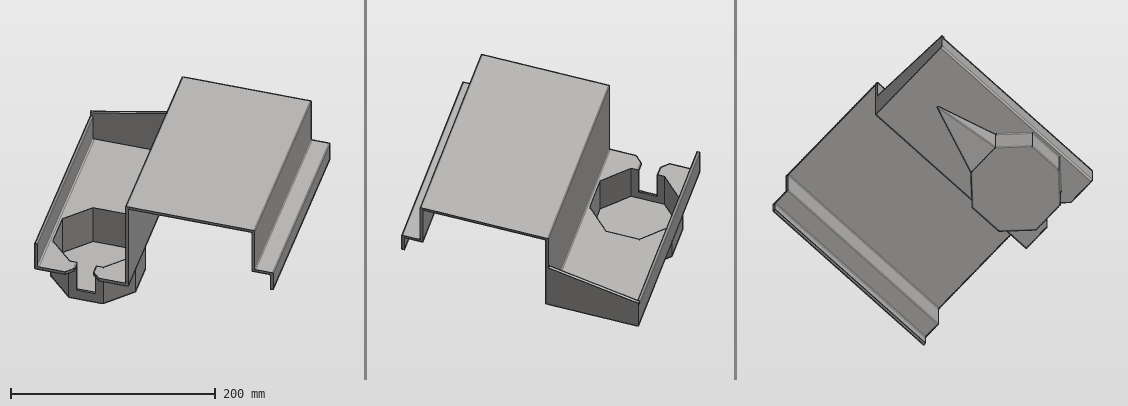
import cadquery as cq
import math

length = 242.7
depth = 201.0
height = 145.1

sheet = 3.0
floor_bottom = 42.2
floor_thickness = 3.5
floor_top = floor_bottom + floor_thickness
lip_top = 75.0
riser_x = 92.5
hood_right = 223.8
ledge_top = 95.0
hook_bottom = 73.0
tray_bend_outer_radius = 2.0
tray_bend_inner_radius = 1.5
bend_radius = 1.0
lip_edge_radius = 0.7

panel_low = 78.9
panel_high = 99.7

cup_width = 86.5
cup_wall = 2.0
cup_floor = 2.0
cup_front = 14.8
cup_x = 48.0
cup_y = cup_front + cup_width / 2
cup_back = cup_front + cup_width
cup_sides = 8
half_sector = 180 / cup_sides
cup_side = cup_width * math.tan(math.radians(half_sector))

fin_tip_y = 164.8

slot_width = 19.2
slot_bottom = 11.5
notch_chamfer = 7.5


def octagon(width, z0, z1):
    """Octagonal prism on the cup axis, with flats facing X and Y."""
    diameter = width / math.cos(math.radians(half_sector))
    prism = cq.Workplane("XY").polygon(cup_sides, diameter).extrude(z1 - z0)
    return prism.rotate((0, 0, 0), (0, 0, 1), half_sector).translate((cup_x, cup_y, z0))


def extrude_along_y(points, y0, y1):
    """Prism between y0 and y1 from an outline of (x, z) points."""
    profile = cq.Workplane("XZ", origin=(0, y0, 0)).polyline(points).close()
    return profile.extrude(y0 - y1)


def near(x, y, z):
    """Selector for the edge closest to a point."""
    return cq.selectors.NearestToPointSelector((x, y, z))


def round_bends(body, corners, radius):
    """Round the Y-direction edges that pass through the given (x, z) corners."""
    for x, z in corners:
        body = body.edges(near(x, depth / 2, z)).fillet(radius)
    return body


def folded_sheet():
    """Tray lip, floor, riser, hood, ledge and hook as one bent strip."""
    riser_inner = riser_x + sheet
    hood_inner = hood_right - sheet
    hook_inner = length - sheet
    ledge_bottom = ledge_top - sheet
    hood_bottom = height - sheet
    strip = extrude_along_y(
        [
            (0, floor_bottom),
            (riser_inner, floor_bottom),
            (riser_inner, hood_bottom),
            (hood_inner, hood_bottom),
            (hood_inner, ledge_bottom),
            (hook_inner, ledge_bottom),
            (hook_inner, hook_bottom),
            (length, hook_bottom),
            (length, ledge_top),
            (hood_right, ledge_top),
            (hood_right, height),
            (riser_x, height),
            (riser_x, floor_top),
            (sheet, floor_top),
            (sheet, lip_top),
            (0, lip_top),
        ],
        0,
        depth,
    )
    strip = round_bends(strip, [(0, floor_bottom)], tray_bend_outer_radius)
    strip = round_bends(strip, [(sheet, floor_top)], tray_bend_inner_radius)
    strip = round_bends(strip, [(0, lip_top), (sheet, lip_top)], lip_edge_radius)
    small_bends = [
        (riser_inner, floor_bottom),
        (riser_x, floor_top),
        (riser_x, height),
        (riser_inner, hood_bottom),
        (hood_right, height),
        (hood_inner, hood_bottom),
        (hood_right, ledge_top),
        (hood_inner, ledge_bottom),
        (length, ledge_top),
        (hook_inner, ledge_bottom),
        (length, hook_bottom),
    ]
    return round_bends(strip, small_bends, bend_radius)


def back_panel():
    """Sloped panel closing the back of the tray, let into the middle of the riser."""
    riser_middle = riser_x + sheet / 2
    outline = [
        (0, floor_top),
        (riser_middle, floor_top),
        (riser_middle, panel_high),
        (sheet, panel_low),
        (0, panel_low),
    ]
    return extrude_along_y(outline, depth - sheet, depth)


def cup_body():
    """Solid octagon with rounded lower edges on all but the front and back flats."""
    body = octagon(cup_width, 0, floor_top)
    rounded = body.faces("<Z").edges("not(<Y or >Y)")
    return rounded.fillet(bend_radius)


def fin():
    """Triangular fin that tapers from the back of the cup up to the tray floor, with rounded lower edges."""
    plan = [
        (cup_x - cup_side / 2, cup_back),
        (cup_x + cup_side / 2, cup_back),
        (cup_x, fin_tip_y),
    ]
    prism = cq.Workplane("XY").polyline(plan).close().extrude(floor_bottom)
    side = [(cup_back, 0), (fin_tip_y, floor_bottom), (cup_back, floor_bottom)]
    wedge = prism.intersect(cq.Workplane("YZ").polyline(side).close().extrude(length))
    lower_edges = wedge.faces("<Z").edges("not |X")
    return lower_edges.fillet(bend_radius)


def notch():
    """Slot through the cup front and the tray floor, flared at the front edge."""
    half = slot_width / 2
    slot = cq.Workplane("XY").box(slot_width, cup_y, floor_top - slot_bottom, centered=(True, False, False))
    slot = slot.translate((cup_x, 0, slot_bottom))
    flare = [
        (cup_x - half - notch_chamfer, 0),
        (cup_x + half + notch_chamfer, 0),
        (cup_x + half, notch_chamfer),
        (cup_x - half, notch_chamfer),
    ]
    flare_outline = cq.Workplane("XY", origin=(0, 0, floor_bottom)).polyline(flare).close()
    return slot.union(flare_outline.extrude(floor_thickness))


def round_cup_rim(body):
    """Blend the cup into the tray floor on all but its front and back flats."""
    margin = cup_wall / 2
    reach = cup_width / 2
    rim = cq.selectors.BoxSelector(
        (cup_x - reach - margin, cup_front + margin, floor_bottom - margin),
        (cup_x + reach + margin, cup_back - margin, floor_bottom + margin),
    )
    return body.edges(rim).fillet(bend_radius)


def round_notch_sides(body):
    """Round the upper and lower edges of both straight sides of the floor notch."""
    side_middle = (notch_chamfer + cup_front) / 2
    for x in (cup_x - slot_width / 2, cup_x + slot_width / 2):
        for z in (floor_top, floor_bottom):
            body = body.edges(near(x, side_middle, z)).fillet(bend_radius)
    return body


cup_cavity = octagon(cup_width - 2 * cup_wall, cup_floor, floor_top)
tray_with_cup = folded_sheet().union(back_panel()).union(cup_body())
solid_part = round_cup_rim(tray_with_cup).union(fin())
result = round_notch_sides(solid_part.cut(cup_cavity).cut(notch()))